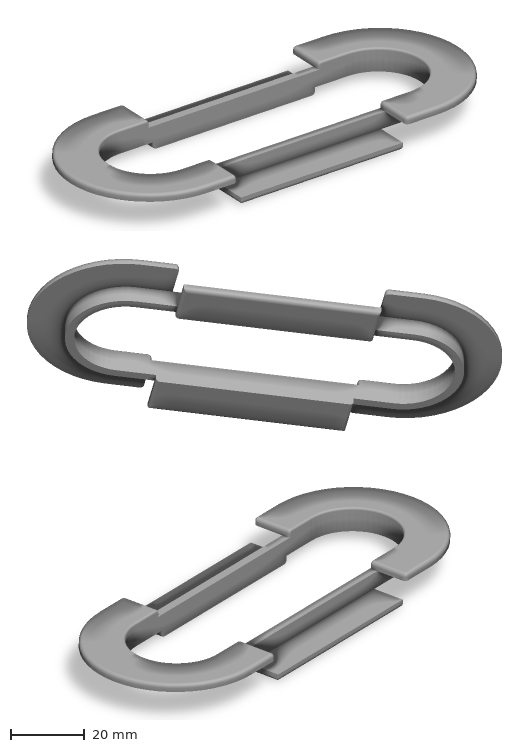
import cadquery as cq

length = 130.2
width = 52.5

tab_thickness = 2.2
wall_height = 5.0
flange_thickness = 2.2
wall_bottom = tab_thickness
flange_bottom = wall_bottom + wall_height
flange_top = flange_bottom + flange_thickness

opening_width = 27.9
opening_length = 104.5
wall_thickness = 2.5
wall_width = opening_width + 2 * wall_thickness
wall_length = opening_length + 2 * wall_thickness

flange_gap = 56.9
tab_length = 54.4
edge_radius = 1.0
inner_edge_radius = 0.7


def racetrack(total_length, total_width, bottom, height):
    """Solid with semicircular ends, long axis along Y."""
    return (
        cq.Workplane("XY", origin=(0, 0, bottom))
        .slot2D(total_length, total_width, 90)
        .extrude(height)
    )


def block(x_size, y_size, bottom, height):
    """Box centred on the Z axis."""
    return (
        cq.Workplane("XY", origin=(0, 0, bottom))
        .rect(x_size, y_size)
        .extrude(height)
    )


def end_flange():
    """U-shaped flange at the +Y end, with rounded upper edges."""
    outer = racetrack(length, width, flange_bottom, flange_thickness)
    opening = racetrack(opening_length, opening_width, flange_bottom, flange_thickness)
    end_length = (length - flange_gap) / 2
    end_region = block(width, end_length, flange_bottom, flange_thickness).translate(
        (0, (flange_gap + end_length) / 2, 0)
    )
    flange = outer.intersect(end_region)
    flange = flange.edges("|Z and <Y").fillet(edge_radius)
    flange = flange.faces(">Z").edges().fillet(edge_radius)
    flange = flange.cut(opening)
    opening_edges = cq.selectors.BoxSelector(
        (-opening_width / 2 - inner_edge_radius, flange_gap / 2, flange_top - inner_edge_radius),
        (opening_width / 2 + inner_edge_radius, opening_length / 2, flange_top + inner_edge_radius),
    )
    return flange.edges(opening_edges).fillet(inner_edge_radius)


def side_tab():
    """Tab on the +X side, reaching from the opening to the full width."""
    tab_width = (width - opening_width) / 2
    tab = block(tab_width, tab_length, 0, tab_thickness)
    tab = tab.faces("<Z").edges("not <X").fillet(edge_radius)
    return tab.translate(((opening_width + tab_width) / 2, 0, 0))


wall = racetrack(wall_length, wall_width, wall_bottom, wall_height).cut(
    racetrack(opening_length, opening_width, wall_bottom, wall_height)
)

result = wall
for angle in (0, 180):
    for feature in (end_flange(), side_tab()):
        result = result.union(feature.rotate((0, 0, 0), (0, 0, 1), angle))